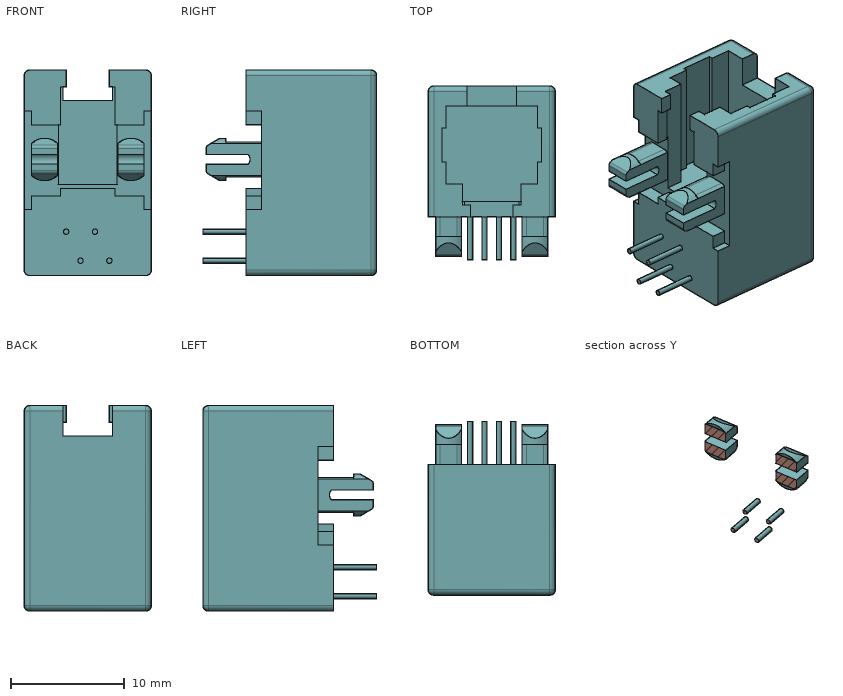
import cadquery as cq
import math


WIDTH = 11.2
DEPTH = 11.51
HEIGHT = 18.1
OVERALL_DEPTH = 15.3
EDGE_RADIUS = 0.5

CAVITY_FLOOR = 8.02
CAVITY_WIDTH = 8.04
CAVITY_FRONT = 2.9
CAVITY_BACK = 9.74
GROOVE_WIDTH = 8.76
GROOVE_FRONT = 4.83
GROOVE_BACK = 7.82
NECK_WIDTH = 5.18
NECK_FRONT = 1.05

BACK_NOTCH_WIDTH = 4.35
BACK_NOTCH_BOTTOM = 15.42
LATCH_SLOT_WIDTH = 3.75
LATCH_WINDOW_WIDTH = 4.76
LATCH_WINDOW_TOP = 16.62

RECESS_DEPTH = 1.35
RECESS_TOP = 13.27
RECESS_BOTTOM = 7.02
RECESS_STEP_TOP = 7.67
RECESS_INNER_WIDTH = 9.88
RECESS_END_TOP = 14.48
RECESS_END_BOTTOM = 5.81

PEG_WIDTH = 2.28
PEG_X = (RECESS_INNER_WIDTH - PEG_WIDTH) / 2
PEG_Z = 10.23
PEG_TIP = 3.5
PEG_SIDE_HALF_HEIGHT = 1.41
SHAFT_HALF_HEIGHT = 1.55
SHAFT_FLAT_WIDTH = 1.48
HEAD_HALF_HEIGHT = 1.86
HEAD_START = 1.75
TAPER_START = 2.3
TAPER_ANGLE = 30.0
TIP_RADIUS = 0.33
SPLIT_HEIGHT = 0.83
SPLIT_END = 0.36
SPLIT_END_BULGE = 0.16

PIN_DIAMETER = 0.47
PIN_LENGTH = OVERALL_DEPTH - DEPTH
PIN_PITCH = 1.27
PIN_UPPER_Z = 3.87
PIN_LOWER_Z = 1.32

OVERCUT = 0.18


def block(width, y_range, z_range):
    """Box centred on X = 0 spanning the given Y and Z ranges."""
    y0, y1 = y_range
    z0, z1 = z_range
    corner_plane = cq.Workplane("XY", origin=(0, y0, z0))
    return corner_plane.box(width, y1 - y0, z1 - z0, centered=(True, False, False))


def make_housing():
    """Block with every edge rounded except those around the board side."""
    body = block(WIDTH, (0, DEPTH), (0, HEIGHT))
    return body.edges("|Y or >Y").fillet(EDGE_RADIUS)


def make_cavity():
    heights = (CAVITY_FLOOR, HEIGHT)
    cavity = block(CAVITY_WIDTH, (CAVITY_FRONT, CAVITY_BACK), heights)
    grooves = block(GROOVE_WIDTH, (GROOVE_FRONT, GROOVE_BACK), heights)
    neck = block(NECK_WIDTH, (NECK_FRONT, CAVITY_FRONT), heights)
    return cavity.union(grooves).union(neck)


def make_wall_openings():
    back_notch = block(BACK_NOTCH_WIDTH, (CAVITY_BACK, DEPTH + OVERCUT), (BACK_NOTCH_BOTTOM, HEIGHT))
    latch_slot = block(LATCH_SLOT_WIDTH, (-OVERCUT, NECK_FRONT), (LATCH_WINDOW_TOP, HEIGHT))
    latch_window = block(LATCH_WINDOW_WIDTH, (-OVERCUT, NECK_FRONT), (RECESS_TOP, LATCH_WINDOW_TOP))
    return back_notch.union(latch_slot).union(latch_window)


def make_recess():
    depths = (-OVERCUT, RECESS_DEPTH)
    ends = block(WIDTH + 2 * OVERCUT, depths, (RECESS_END_BOTTOM, RECESS_END_TOP))
    inner = block(RECESS_INNER_WIDTH, depths, (RECESS_END_BOTTOM, RECESS_END_TOP))
    middle = block(RECESS_INNER_WIDTH, depths, (RECESS_BOTTOM, RECESS_TOP))
    sill = block(LATCH_WINDOW_WIDTH, depths, (RECESS_BOTTOM, RECESS_STEP_TOP))
    return ends.cut(inner).union(middle.cut(sill))


def extrude_outward(section, y_start, y_end):
    """Extrude an XZ section from y_start toward -Y, ending at y_end."""
    return section.extrude(y_start - y_end).translate((0, y_start, 0))


def make_shaft():
    """Shaft with flat top and bottom whose shoulders curve tangentially from the flats."""
    flat = SHAFT_FLAT_WIDTH / 2
    side = PEG_WIDTH / 2
    top = SHAFT_HALF_HEIGHT
    low = PEG_SIDE_HALF_HEIGHT
    run = side - flat
    drop = top - low
    radius = (run**2 + drop**2) / (2 * drop)
    half_turn = math.asin(run / radius) / 2
    mid_x = flat + radius * math.sin(half_turn)
    mid_z = top - radius * (1 - math.cos(half_turn))
    section = (
        cq.Workplane("XZ")
        .moveTo(-flat, top)
        .lineTo(flat, top)
        .threePointArc((mid_x, mid_z), (side, low))
        .lineTo(side, -low)
        .threePointArc((mid_x, -mid_z), (flat, -top))
        .lineTo(-flat, -top)
        .threePointArc((-mid_x, -mid_z), (-side, -low))
        .lineTo(-side, low)
        .threePointArc((-mid_x, mid_z), (-flat, top))
        .close()
    )
    return extrude_outward(section, RECESS_DEPTH, -PEG_TIP)


def make_head():
    side = PEG_WIDTH / 2
    low = PEG_SIDE_HALF_HEIGHT
    section = (
        cq.Workplane("XZ")
        .moveTo(-side, low)
        .threePointArc((0, HEAD_HALF_HEIGHT), (side, low))
        .lineTo(side, -low)
        .threePointArc((0, -HEAD_HALF_HEIGHT), (-side, -low))
        .close()
    )
    return extrude_outward(section, -HEAD_START, -PEG_TIP)


def make_peg_side_profile():
    """Side outline of the peg tapering to a rounded tip, extruded across its width."""
    top = HEAD_HALF_HEIGHT
    taper_drop = (PEG_TIP - TAPER_START) * math.tan(math.radians(TAPER_ANGLE))
    outline = (
        cq.Workplane("YZ")
        .moveTo(RECESS_DEPTH, top)
        .lineTo(-TAPER_START, top)
        .lineTo(-PEG_TIP, top - taper_drop)
        .lineTo(-PEG_TIP, taper_drop - top)
        .lineTo(-TAPER_START, -top)
        .lineTo(RECESS_DEPTH, -top)
        .close()
        .extrude(PEG_WIDTH / 2, both=True)
    )
    return outline.faces("<Y").edges("|X").fillet(TIP_RADIUS)


def make_split():
    """Slot along the peg axis, open at the tip, with a shallow rounded end."""
    half = SPLIT_HEIGHT / 2
    corner = SPLIT_END - SPLIT_END_BULGE
    return (
        cq.Workplane("YZ")
        .moveTo(-PEG_TIP - OVERCUT, half)
        .lineTo(corner, half)
        .threePointArc((SPLIT_END, 0), (corner, -half))
        .lineTo(-PEG_TIP - OVERCUT, -half)
        .close()
        .extrude(PEG_WIDTH, both=True)
    )


def make_peg():
    return make_shaft().union(make_head()).intersect(make_peg_side_profile()).cut(make_split())


def make_pins():
    """Four pins in two staggered rows, starting on the board side."""
    pins = cq.Workplane("XZ")
    upper = [(-1.5 * PIN_PITCH, PIN_UPPER_Z), (0.5 * PIN_PITCH, PIN_UPPER_Z)]
    lower = [(-0.5 * PIN_PITCH, PIN_LOWER_Z), (1.5 * PIN_PITCH, PIN_LOWER_Z)]
    return pins.pushPoints(upper + lower).circle(PIN_DIAMETER / 2).extrude(PIN_LENGTH)


result = make_housing().cut(make_cavity()).cut(make_wall_openings()).cut(make_recess())
for peg_x in (-PEG_X, PEG_X):
    result = result.union(make_peg().translate((peg_x, 0, PEG_Z)))
result = result.union(make_pins())